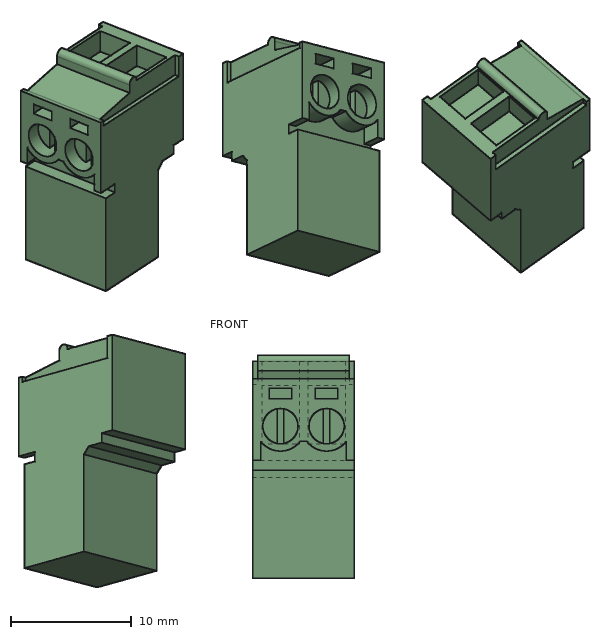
import cadquery as cq


WIDTH = 8.41
DEPTH = 11.1
HEIGHT = 18.45

POLE_PITCH = 3.82
POLE_X = [-POLE_PITCH / 2, POLE_PITCH / 2]

PLUG_FRONT_Y = 0.66
PLUG_BACK_Y = 7.73
PLUG_TOP_Z = 8.93
PLUG_CHAMFER = 0.59
HEAD_BOTTOM_Z = 9.75
NOTCH_BACK_Y = 1.88
STEP_BACK_Y = 9.83

RIDGE_RADIUS = 0.5
RIDGE_FRONT_Y = 4.37
RIDGE_BACK_Y = RIDGE_FRONT_Y + 2 * RIDGE_RADIUS
TOP_Z = HEIGHT - RIDGE_RADIUS
SLOPE_TOP_Z = 17.18
FRONT_TOP_Z = 16.51

RIM = 0.4
REAR_RIM = 0.6
REBATE_BACK_Y = DEPTH - REAR_RIM
REBATE_FLOOR_Z = 16.05

POCKET_WIDTH = 3.12
POCKET_FRONT_Y = 5.52
POCKET_BACK_Y = 9.78
POCKET_DEPTH = 1.97
CONTACT_TOP_Z = TOP_Z - POCKET_DEPTH

SCREW_RADIUS = 1.45
SCREW_Z = 12.58
SCREW_FACE_Y = 1.3
SCREW_SLOT_WIDTH = 0.54
SCREW_SLOT_DEPTH = 0.74
CONTACT_BOTTOM_Z = SCREW_Z - SCREW_RADIUS

TEST_SLOT_WIDTH = 1.88
TEST_SLOT_BOTTOM_Z = 14.83
TEST_SLOT_HEIGHT = 0.89

RECESS_WIDTH = 7.05
RECESS_TOP_Z = 11.35
RECESS_DEPTH = NOTCH_BACK_Y
COLLAR_RADIUS = 2.07


def block(x_center, width, y_start, y_end, z_start, z_end):
    """A box centred on x_center, between the given Y and Z limits."""
    return (
        cq.Workplane("XY")
        .box(width, y_end - y_start, z_end - z_start, centered=(True, False, False))
        .translate((x_center, y_start, z_start))
    )


def rod(x_center, radius, y_start, y_end):
    """A cylinder along Y on a screw axis."""
    axis_start = cq.Vector(x_center, y_start, SCREW_Z)
    return cq.Workplane(cq.Solid.makeCylinder(radius, y_end - y_start, axis_start, cq.Vector(0, 1, 0)))


def make_housing_body():
    """The side profile, extruded across the full width."""
    return (
        cq.Workplane("YZ")
        .moveTo(PLUG_FRONT_Y, 0)
        .lineTo(PLUG_BACK_Y, 0)
        .lineTo(PLUG_BACK_Y, PLUG_TOP_Z - PLUG_CHAMFER)
        .lineTo(PLUG_BACK_Y + PLUG_CHAMFER, PLUG_TOP_Z)
        .lineTo(STEP_BACK_Y, PLUG_TOP_Z)
        .lineTo(STEP_BACK_Y, HEAD_BOTTOM_Z)
        .lineTo(DEPTH, HEAD_BOTTOM_Z)
        .lineTo(DEPTH, TOP_Z)
        .lineTo(RIDGE_BACK_Y, TOP_Z)
        .threePointArc((RIDGE_FRONT_Y + RIDGE_RADIUS, HEIGHT), (RIDGE_FRONT_Y, TOP_Z))
        .lineTo(RIDGE_FRONT_Y, SLOPE_TOP_Z)
        .lineTo(RIM, FRONT_TOP_Z)
        .lineTo(0, FRONT_TOP_Z)
        .lineTo(0, HEAD_BOTTOM_Z)
        .lineTo(NOTCH_BACK_Y, HEAD_BOTTOM_Z)
        .lineTo(NOTCH_BACK_Y, PLUG_TOP_Z)
        .lineTo(PLUG_FRONT_Y, PLUG_TOP_Z)
        .close()
        .extrude(WIDTH / 2, both=True)
    )


def make_front_recess():
    """The cut below the screws, which leaves a round collar around each bore."""
    recess = block(0, RECESS_WIDTH, 0, RECESS_DEPTH, PLUG_TOP_Z, RECESS_TOP_Z)
    for x in POLE_X:
        recess = recess.cut(rod(x, COLLAR_RADIUS, 0, RECESS_DEPTH))
    return recess


def make_housing():
    housing = make_housing_body().cut(make_front_recess())
    for side in (-1, 1):
        rebate_x = side * (WIDTH - RIM) / 2
        housing = housing.cut(block(rebate_x, RIM, RIM, REBATE_BACK_Y, REBATE_FLOOR_Z, HEIGHT))
    test_slot_top_z = TEST_SLOT_BOTTOM_Z + TEST_SLOT_HEIGHT
    for x in POLE_X:
        housing = (
            housing
            .cut(block(x, POCKET_WIDTH, POCKET_FRONT_Y, POCKET_BACK_Y, CONTACT_BOTTOM_Z, TOP_Z))
            .cut(rod(x, SCREW_RADIUS, 0, POCKET_FRONT_Y))
            .cut(block(x, TEST_SLOT_WIDTH, 0, POCKET_FRONT_Y, TEST_SLOT_BOTTOM_Z, test_slot_top_z))
        )
    return housing


def make_screw(x):
    """A slotted screw that fills its bore up to the contact."""
    screw = rod(x, SCREW_RADIUS, SCREW_FACE_Y, POCKET_FRONT_Y)
    slot = block(
        x,
        SCREW_SLOT_WIDTH,
        SCREW_FACE_Y,
        SCREW_FACE_Y + SCREW_SLOT_DEPTH,
        SCREW_Z - SCREW_RADIUS,
        SCREW_Z + SCREW_RADIUS,
    )
    return screw.cut(slot)


def make_contact(x):
    """A contact block that fills the bottom of its wire pocket."""
    return block(x, POCKET_WIDTH, POCKET_FRONT_Y, POCKET_BACK_Y, CONTACT_BOTTOM_Z, CONTACT_TOP_Z)


housing = make_housing()
screws = [make_screw(x) for x in POLE_X]
contacts = [make_contact(x) for x in POLE_X]

result = cq.Compound.makeCompound(
    [
        housing.solids().val(),
        *[screw.solids().val() for screw in screws],
        *[contact.solids().val() for contact in contacts],
    ]
)